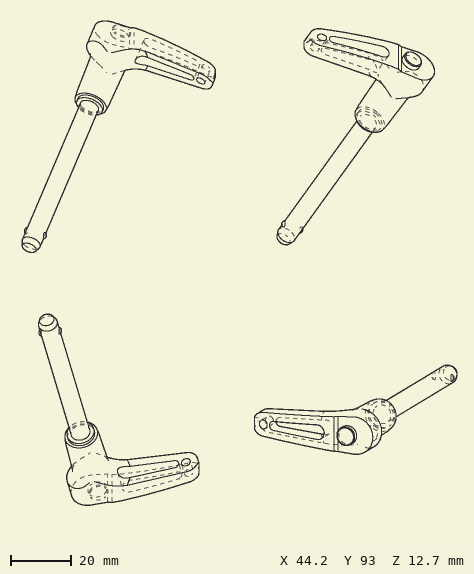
import cadquery as cq
import math


overall_length = 92.96

pin_radius = 3.175
pin_length = 60.5
pin_tip_radius = 2.45
pin_tip_length = 2.0

ball_radius = 1.25
ball_reach = 3.8
ball_y = -54.2

collar_radius = 4.55
collar_top_y = 1.15
stem_bottom_radius = 5.5
stem_shoulder_radius = 5.75
stem_shoulder_y = 3.4
stem_top_radius = 6.1
stem_top_y = 17.6
flare_radius = 5.8

head_radius = 6.345
head_center_x = -2.555
head_left_x = head_center_x - head_radius
grip_end_radius = 4.06
grip_end_x = 31.2
tip_overrun = 0.1
tip_x = grip_end_x + grip_end_radius + tip_overrun

underside_slope = math.radians(5)
flare_peak_radius = stem_top_radius + flare_radius
flare_rim_radius = flare_peak_radius + flare_radius * math.sin(underside_slope)
flare_rim_y = stem_top_y + flare_radius * math.cos(underside_slope)
underside_start_y = flare_rim_y + flare_rim_radius * math.tan(underside_slope)

core_top_y = 27.0
head_top_y = 30.45
step_start_x = 3.4
step_end_x = 4.7
crest_y = 30.95
crest_x = 7.5
back_mid_x = 20.5
back_mid_y = 29.4
tip_slant = 0.55
tip_top_x = tip_x - tip_slant
tip_top_y = 26.4
tip_bottom_y = underside_start_y - tip_x * math.tan(underside_slope)
tip_corner_radius = 0.8

slot_wide_radius = 2.45
slot_wide_x = 10.65
slot_narrow_radius = 1.5
slot_narrow_x = 27.25
lanyard_hole_radius = 1.5

button_radius = pin_radius
button_top_y = overall_length - pin_length
button_chamfer = 0.3


def tapered_slot(x1, r1, x2, r2):
    """Outline around two circles on the X axis, joined by their common tangents, extruded along Y."""
    tilt = math.asin((r1 - r2) / (x2 - x1))
    sin_t = math.sin(tilt)
    cos_t = math.cos(tilt)
    outline = (
        cq.Workplane("XZ")
        .moveTo(x1 + r1 * sin_t, r1 * cos_t)
        .lineTo(x2 + r2 * sin_t, r2 * cos_t)
        .threePointArc((x2 + r2, 0), (x2 + r2 * sin_t, -r2 * cos_t))
        .lineTo(x1 + r1 * sin_t, -r1 * cos_t)
        .threePointArc((x1 - r1, 0), (x1 + r1 * sin_t, r1 * cos_t))
        .close()
    )
    return outline.extrude(-button_top_y)


def revolve_about_pin(profile):
    return profile.close().revolve(360, (0, 0, 0), (0, 1, 0))


def make_pin():
    profile = (
        cq.Workplane("XY")
        .moveTo(0, -pin_length)
        .lineTo(pin_tip_radius, -pin_length)
        .lineTo(pin_radius, pin_tip_length - pin_length)
        .lineTo(pin_radius, collar_top_y)
        .lineTo(0, collar_top_y)
    )
    return revolve_about_pin(profile)


def make_balls():
    ball_x = ball_reach - ball_radius
    return cq.Workplane("XY").pushPoints([(-ball_x, ball_y), (ball_x, ball_y)]).sphere(ball_radius)


def make_stem():
    """Collar, tapered stem, and the flare whose solid core merges into the handle."""
    bend = flare_radius * math.sqrt(0.5)
    profile = (
        cq.Workplane("XY")
        .lineTo(collar_radius, 0)
        .lineTo(collar_radius, collar_top_y)
        .lineTo(stem_bottom_radius, collar_top_y)
        .lineTo(stem_shoulder_radius, stem_shoulder_y)
        .lineTo(stem_top_radius, stem_top_y)
        .threePointArc(
            (flare_peak_radius - bend, stem_top_y + bend),
            (flare_rim_radius, flare_rim_y),
        )
        .lineTo(flare_rim_radius, core_top_y)
        .lineTo(0, core_top_y)
    )
    return revolve_about_pin(profile)


def make_handle_side():
    """Side profile of the handle: flat head, raised crest, curved back and slanted tip."""
    half_width = head_radius
    profile = (
        cq.Workplane("XY")
        .workplane(offset=-half_width)
        .moveTo(head_left_x, core_top_y)
        .lineTo(head_left_x, head_top_y)
        .lineTo(step_start_x, head_top_y)
        .lineTo(step_end_x, crest_y)
        .lineTo(crest_x, crest_y)
        .threePointArc((back_mid_x, back_mid_y), (tip_top_x, tip_top_y))
        .lineTo(tip_x, tip_bottom_y)
        .lineTo(0, underside_start_y)
        .lineTo(0, core_top_y)
        .close()
        .extrude(2 * half_width)
    )
    tip_corners = cq.selectors.BoxSelector(
        (grip_end_x, 0, -half_width),
        (tip_x + tip_overrun, button_top_y, half_width),
    )
    return profile.edges("|Z").edges(tip_corners).fillet(tip_corner_radius)


def make_handle():
    outline = tapered_slot(head_center_x, head_radius, grip_end_x, grip_end_radius)
    slot = tapered_slot(slot_wide_x, slot_wide_radius, slot_narrow_x, slot_narrow_radius)
    hole_circle = cq.Workplane("XZ").center(grip_end_x, 0).circle(lanyard_hole_radius)
    lanyard_hole = hole_circle.extrude(-button_top_y)
    body = make_stem().union(make_handle_side()).intersect(outline)
    return body.cut(slot).cut(lanyard_hole)


def make_button():
    button = cq.Workplane("XZ").workplane(offset=-core_top_y).circle(button_radius)
    return button.extrude(core_top_y - button_top_y).faces(">Y").chamfer(button_chamfer)


result = make_handle().union(make_pin()).union(make_balls()).union(make_button())